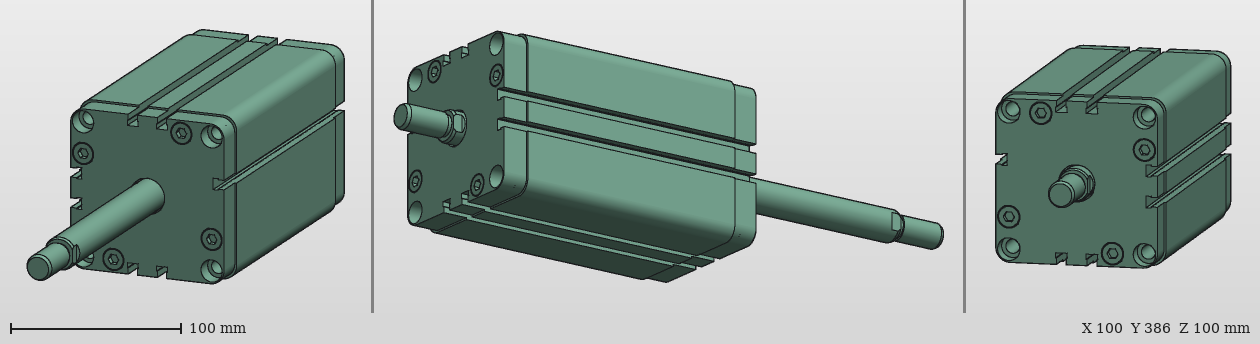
import cadquery as cq
import math


tube_side = 100.0
cap_side = 97.5
corner_radius = 9.0
tube_length = 149.0
cap_length = 16.2
body_length = tube_length + 2 * cap_length
body_end = body_length / 2

slot_mouth = 5.8
slot_undercut = 7.0
slot_lip = 5.0
slot_depth = 8.0
slot_offset = 9.3
single_slot_offset = 12.5

hole_pitch = 41.0
hole_diameter = 8.5
counterbore_diameter = 13.5
counterbore_depth = 10.0
screw_offset = 21.5
screw_pocket_diameter = 13.5
screw_head_diameter = 12.5
screw_pocket_depth = 7.7
screw_socket_flats = 5.8
screw_socket_depth = 4.0

rod_diameter = 20.0
rod_bore_diameter = 22.0
rod_bore_depth = 4.0
total_length = 386.0
stub_length = 32.0
neck_length = 3.0
neck_diameter = 13.5
thread_diameter = 16.0
thread_chamfer_length = 2.5
thread_chamfer_height = 1.0
rear_shoulder = 7.7
shoulder_chamfer_length = 2.0
shoulder_chamfer_height = 0.8
rear_rod_end = body_end + rear_shoulder
front_rod_end = total_length - 2 * stub_length - rear_rod_end

flats_width = 17.0
flats_length = 6.0
flats_runout = 1.0


def rounded_bar(side, length):
    """Square bar along Y with rounded long edges."""
    return cq.Workplane("XY").box(side, length, side).edges("|Y").fillet(corner_radius)


def cylinder(diameter, start, end, x=0.0, z=0.0):
    """Cylinder along Y between two Y positions."""
    plane = cq.Workplane("XZ", origin=(x, start, z))
    return plane.circle(diameter / 2).extrude(start - end)


def t_slot(offset, angle):
    """T-slot cutter in the +Z face at X = offset, then turned about Y to another face."""
    half_side = tube_side / 2
    mouth = cq.Workplane("XY").box(slot_mouth, body_length, slot_depth)
    mouth = mouth.translate((offset, 0, half_side - slot_depth / 2))
    undercut_height = slot_depth - slot_lip
    undercut = cq.Workplane("XY").box(slot_undercut, body_length, undercut_height)
    undercut = undercut.translate((offset, 0, half_side - slot_depth + undercut_height / 2))
    return mouth.union(undercut).rotate((0, 0, 0), (0, 1, 0), angle)


def cap_screw(x, z, side):
    """Material to remove around and inside a socket screw head; side is -1 front, +1 rear."""
    face = side * body_end
    floor = face - side * screw_pocket_depth
    ring = cylinder(screw_pocket_diameter, face, floor, x, z)
    ring = ring.cut(cylinder(screw_head_diameter, face, floor, x, z))
    socket_corners = screw_socket_flats / math.cos(math.pi / 6)
    socket = cq.Workplane("XZ", origin=(x, face, z)).polygon(6, socket_corners)
    return ring.union(socket.extrude(side * screw_socket_depth))


def rod_half(rod_end):
    """Rod from the middle of the body to one tip, pointing along +Y."""
    rod_radius = rod_diameter / 2
    thread_radius = thread_diameter / 2
    tip = rod_end + stub_length
    profile = [
        (0, 0),
        (rod_radius, 0),
        (rod_radius, rod_end - shoulder_chamfer_length),
        (rod_radius - shoulder_chamfer_height, rod_end),
        (neck_diameter / 2, rod_end),
        (neck_diameter / 2, rod_end + neck_length),
        (thread_radius, rod_end + neck_length),
        (thread_radius, tip - thread_chamfer_length),
        (thread_radius - thread_chamfer_height, tip),
        (0, tip),
    ]
    rod = cq.Workplane("XY").polyline(profile).close().revolve(360, (0, 0, 0), (0, 1, 0))
    flat_start = rod_end - flats_length
    flat_cut = [
        (flats_width / 2, rod_end),
        (flats_width / 2, flat_start),
        (rod_radius, flat_start - flats_runout),
        (rod_radius, rod_end),
    ]
    flat = cq.Workplane("XY").polyline(flat_cut).close().extrude(rod_radius, both=True)
    return rod.cut(flat).cut(flat.mirror("YZ"))


body = rounded_bar(tube_side, tube_length).union(rounded_bar(cap_side, body_length))
for angle in (0, 180, 270):
    for offset in (-slot_offset, slot_offset):
        body = body.cut(t_slot(offset, angle))
body = body.cut(t_slot(-single_slot_offset, 90))

for x in (-hole_pitch, hole_pitch):
    for z in (-hole_pitch, hole_pitch):
        body = body.cut(cylinder(hole_diameter, -body_end, body_end, x, z))
        for side in (-1, 1):
            face = side * body_end
            floor = face - side * counterbore_depth
            body = body.cut(cylinder(counterbore_diameter, face, floor, x, z))

screw_places = [
    (screw_offset, hole_pitch),
    (hole_pitch, -screw_offset),
    (-screw_offset, -hole_pitch),
    (-hole_pitch, screw_offset),
]
for side in (-1, 1):
    for x, z in screw_places:
        body = body.cut(cap_screw(x, z, side))
    face = side * body_end
    body = body.cut(cylinder(rod_bore_diameter, face, face - side * rod_bore_depth))

rear_rod = rod_half(rear_rod_end)
front_rod = rod_half(front_rod_end).mirror("XZ")
result = body.union(rear_rod).union(front_rod)